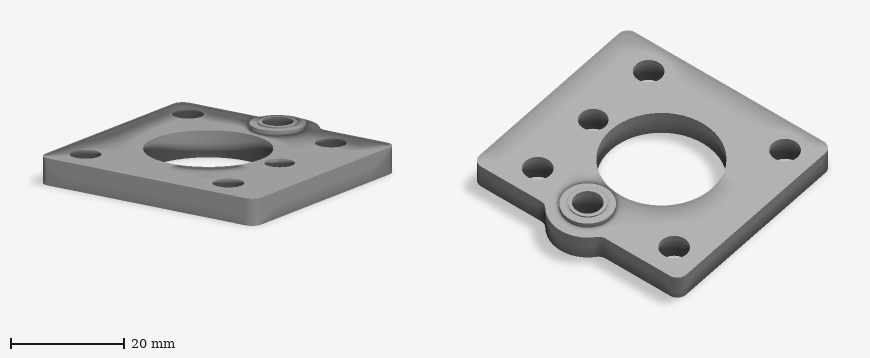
import cadquery as cq
import math

plate_length = 47.0
plate_width = 43.0
plate_thickness = 5.0
corner_radius = 2.0

bore_x = -2.0
bore_diameter = 23.0
bolt_spacing = 31.0
bolt_diameter = 5.6
side_hole_diameter = 5.4

bushing_x = 0.5
bushing_y = 17.5
lobe_top_y = 46.5 - plate_width / 2
lobe_radius = lobe_top_y - bushing_y
lobe_fillet_radius = 2.0
flange_diameter = 10.0
flange_height = 1.0
lip_diameter = 7.0
total_height = 6.25
bushing_bore_diameter = 5.6


def make_plate():
    return (
        cq.Workplane("XY")
        .rect(plate_length, plate_width)
        .extrude(plate_thickness)
        .edges("|Z")
        .fillet(corner_radius)
    )


def make_lobe():
    """Round lobe blended into the plate edge by a concave arc on each side."""
    edge_y = plate_width / 2
    fillet_y = edge_y + lobe_fillet_radius
    centre_distance = lobe_radius + lobe_fillet_radius
    rise = fillet_y - bushing_y
    fillet_offset = math.sqrt(centre_distance**2 - rise**2)

    tangent_offset = fillet_offset * lobe_radius / centre_distance
    tangent_y = bushing_y + rise * lobe_radius / centre_distance

    start_angle = math.atan2(rise, fillet_offset)
    middle_angle = (start_angle + math.pi / 2) / 2
    middle_offset = fillet_offset - lobe_fillet_radius * math.cos(middle_angle)
    middle_y = fillet_y - lobe_fillet_radius * math.sin(middle_angle)

    return (
        cq.Workplane("XY")
        .moveTo(bushing_x - fillet_offset, bushing_y)
        .lineTo(bushing_x - fillet_offset, edge_y)
        .threePointArc((bushing_x - middle_offset, middle_y), (bushing_x - tangent_offset, tangent_y))
        .threePointArc((bushing_x, lobe_top_y), (bushing_x + tangent_offset, tangent_y))
        .threePointArc((bushing_x + middle_offset, middle_y), (bushing_x + fillet_offset, edge_y))
        .lineTo(bushing_x + fillet_offset, bushing_y)
        .close()
        .extrude(plate_thickness)
    )


def make_cylinder(x, y, diameter, height):
    return cq.Workplane("XY").center(x, y).circle(diameter / 2).extrude(height)


body = make_plate().union(make_lobe())

body = body.union(make_cylinder(bushing_x, bushing_y, flange_diameter, plate_thickness + flange_height))
body = body.union(make_cylinder(bushing_x, bushing_y, lip_diameter, total_height))

half_spacing = bolt_spacing / 2
through_holes = [
    (bore_x, 0, bore_diameter),
    (bore_x + half_spacing, 0, side_hole_diameter),
    (bushing_x, bushing_y, bushing_bore_diameter),
]
for x_side in (-1, 1):
    for y_side in (-1, 1):
        through_holes.append((bore_x + x_side * half_spacing, y_side * half_spacing, bolt_diameter))

for x, y, diameter in through_holes:
    body = body.cut(make_cylinder(x, y, diameter, total_height))

result = body